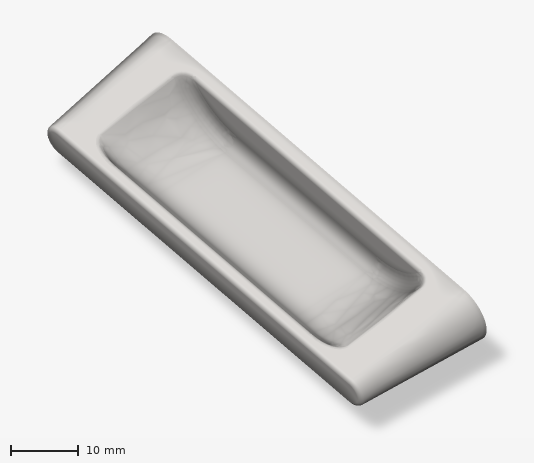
import cadquery as cq
import math

length = 74.0
depth = 23.0
height = 10.0
draft = 6.0
front_edge_radius = 0.75

floor_thickness = 2.0
back_wall = 2.4
front_wall = 2.2
floor_half_length = 15.4
rim_half_length = 27.1
floor_radius = 2.0
rim_radius = 0.75
end_overshoot = math.radians(8.0)


def half_height(y):
    """Half of the body height at distance y behind the front face."""
    return height / 2 - (depth - y) * math.tan(math.radians(draft))


def tapered_body():
    body = (
        cq.Workplane("XZ", origin=(0, depth, 0))
        .slot2D(length, height)
        .extrude(depth, taper=draft)
    )
    return body.faces("<Y").edges().fillet(front_edge_radius)


def pocket_section(y):
    """Flat floor with an arc at each end, tangent to the floor and rising past the rim."""
    floor_z = floor_thickness - half_height(y)
    run = rim_half_length - floor_half_length
    rise = half_height(y) - floor_z
    arc_radius = (run**2 + rise**2) / (2 * rise)
    sweep = 2 * math.atan(rise / run) + end_overshoot

    def arc_point(angle, side):
        x = floor_half_length + arc_radius * math.sin(angle)
        z = floor_z + arc_radius * (1 - math.cos(angle))
        return (side * x, z)

    section = (
        cq.Workplane("XZ", origin=(0, y, 0))
        .moveTo(-floor_half_length, floor_z)
        .lineTo(floor_half_length, floor_z)
        .threePointArc(arc_point(sweep / 2, 1), arc_point(sweep, 1))
        .lineTo(*arc_point(sweep, -1))
        .threePointArc(arc_point(sweep / 2, -1), (-floor_half_length, floor_z))
        .close()
    )
    return section.val()


def pocket_cutter():
    front_section = pocket_section(front_wall)
    back_section = pocket_section(depth - back_wall)
    cutter = cq.Workplane(cq.Solid.makeLoft([front_section, back_section], True))
    front_edges = cutter.faces("<Y").edges("not >Z")
    back_edges = cutter.faces(">Y").edges("not >Z")
    return front_edges.add(back_edges).fillet(floor_radius)


def soften_rim(pocketed):
    """Round the pocket rim, which is the inner outline of the sloping upper face."""
    upward_faces = [
        face for face in pocketed.faces("%PLANE").vals()
        if face.normalAt().z > 0
    ]
    upper_face = max(upward_faces, key=lambda face: face.Center().z)
    rim = upper_face.innerWires()[0]
    return pocketed.newObject(rim.Edges()).fillet(rim_radius)


result = soften_rim(tapered_body().cut(pocket_cutter()))